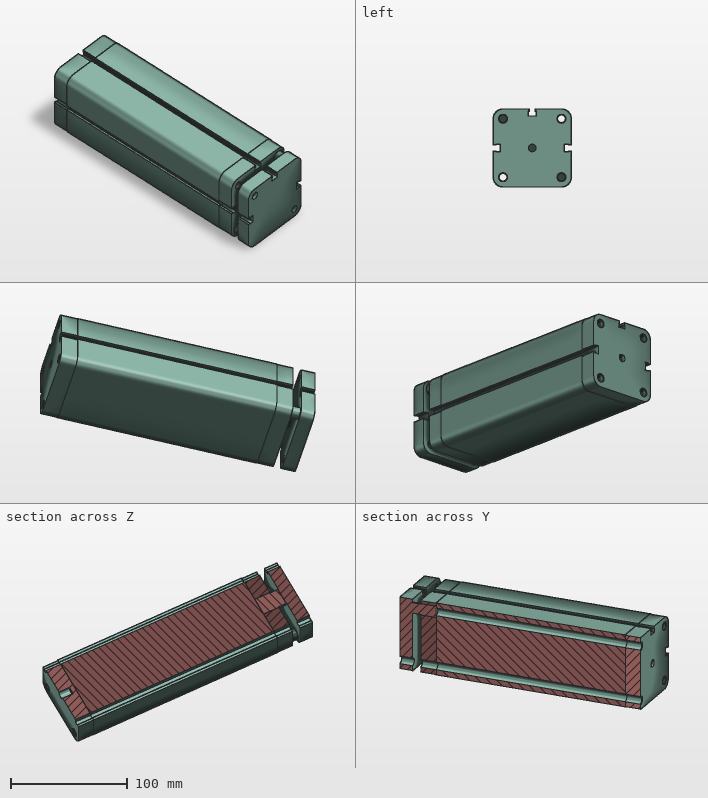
import cadquery as cq

BARREL_SIDE = 67.0
CAP_SIDE = 66.4
CAP_LENGTH = 14.5
BARREL_LENGTH = 177.0
GAP = 7.5
PLATE_THICKNESS = 12.0

BARREL_START = CAP_LENGTH
FRONT_CAP_START = BARREL_START + BARREL_LENGTH
FRONT_FACE = FRONT_CAP_START + CAP_LENGTH
PLATE_START = FRONT_FACE + GAP

CORNER_CENTRE = 25.0
SLOT_FLOOR = BARREL_SIDE / 2 - 6.0
SLOT_LIP_BOTTOM = BARREL_SIDE / 2 - 2.5
CAP_SLOT_OPENING = 6.0
CAP_SLOT_INNER_WIDTH = 7.2
BARREL_SLOT_OPENING = 4.8
BARREL_SLOT_INNER_WIDTH = 6.2
SLOT_ANGLES = (0, 90, -90)

CORNER_OFFSET = CORNER_CENTRE
HOLE_DIAMETER = 6.6
HOLE_CHAMFER = 0.55
GUIDE_DIAMETER = 10.0
OPEN_CORNERS = [(CORNER_OFFSET, -CORNER_OFFSET), (-CORNER_OFFSET, CORNER_OFFSET)]
GUIDE_CORNERS = [(CORNER_OFFSET, CORNER_OFFSET), (-CORNER_OFFSET, -CORNER_OFFSET)]
ALL_CORNERS = OPEN_CORNERS + GUIDE_CORNERS

PORT_DIAMETER = 6.5
PORT_DEPTH = 10.0

ROD_DIAMETER = 16.0
ROD_FLAT_WIDTH = 13.0
ROD_FLAT_DEPTH = (ROD_DIAMETER - ROD_FLAT_WIDTH) / 2
ROD_FLAT_START = FRONT_FACE + ROD_FLAT_DEPTH
ROD_TIP_CHAMFER = 0.5


def section_plane(x):
    """Workplane facing +X, with local axes along Y and Z."""
    return cq.Workplane("YZ", origin=(x, 0, 0))


def cylinders(x, length, diameter, places):
    return section_plane(x).pushPoints(places).circle(diameter / 2).extrude(length)


def slot_cutter(x, length, side, opening, inner_width):
    """T-shaped cutter for the groove in the top face."""
    top = side / 2
    return (
        section_plane(x)
        .moveTo(opening / 2, top)
        .lineTo(opening / 2, SLOT_LIP_BOTTOM)
        .lineTo(inner_width / 2, SLOT_LIP_BOTTOM)
        .lineTo(inner_width / 2, SLOT_FLOOR)
        .lineTo(-inner_width / 2, SLOT_FLOOR)
        .lineTo(-inner_width / 2, SLOT_LIP_BOTTOM)
        .lineTo(-opening / 2, SLOT_LIP_BOTTOM)
        .lineTo(-opening / 2, top)
        .close()
        .extrude(length)
    )


def slotted_block(x, length, side, opening, inner_width):
    """Rounded square block with its grooves, running from x along +X."""
    corner_radius = side / 2 - CORNER_CENTRE
    block = section_plane(x).rect(side, side).extrude(length).edges("|X").fillet(corner_radius)
    cutter = slot_cutter(x, length, side, opening, inner_width)
    for angle in SLOT_ANGLES:
        block = block.cut(cutter.rotate((0, 0, 0), (1, 0, 0), angle))
    return block


def cap_block(x, length):
    """Block with the section shared by both caps and the guide plate."""
    return slotted_block(x, length, CAP_SIDE, CAP_SLOT_OPENING, CAP_SLOT_INNER_WIDTH)


def make_rear_cap():
    cap = cap_block(0, CAP_LENGTH)
    cap = cap.cut(cylinders(0, CAP_LENGTH, HOLE_DIAMETER, ALL_CORNERS))
    mouths = (
        section_plane(0)
        .pushPoints(ALL_CORNERS)
        .circle(HOLE_DIAMETER / 2 + HOLE_CHAMFER)
        .extrude(HOLE_CHAMFER, taper=45)
    )
    cap = cap.cut(mouths)
    return cap.cut(cylinders(0, PORT_DEPTH, PORT_DIAMETER, [(0, 0)]))


def make_barrel():
    barrel = slotted_block(
        BARREL_START, BARREL_LENGTH, BARREL_SIDE, BARREL_SLOT_OPENING, BARREL_SLOT_INNER_WIDTH
    )
    return barrel.cut(cylinders(BARREL_START, BARREL_LENGTH, HOLE_DIAMETER, ALL_CORNERS))


def make_front_cap():
    cap = cap_block(FRONT_CAP_START, CAP_LENGTH)
    cap = cap.cut(cylinders(FRONT_CAP_START, CAP_LENGTH, HOLE_DIAMETER, OPEN_CORNERS))
    cap = cap.cut(cylinders(FRONT_CAP_START, CAP_LENGTH, GUIDE_DIAMETER, GUIDE_CORNERS))
    return cap.cut(cylinders(FRONT_CAP_START, CAP_LENGTH, ROD_DIAMETER, [(0, 0)]))


def make_piston_rod():
    """Rod through the front cap, with two wrench flats and a chamfered tip against the guide plate."""
    rod = cylinders(FRONT_CAP_START, PLATE_START - FRONT_CAP_START, ROD_DIAMETER, [(0, 0)])
    rod = rod.faces(">X").chamfer(ROD_TIP_CHAMFER)
    flat_height = ROD_FLAT_WIDTH / 2
    flat_cutter = (
        cq.Workplane("XZ")
        .moveTo(FRONT_FACE, ROD_DIAMETER / 2)
        .lineTo(ROD_FLAT_START, flat_height)
        .lineTo(PLATE_START, flat_height)
        .lineTo(PLATE_START, ROD_DIAMETER / 2)
        .close()
        .extrude(ROD_DIAMETER / 2, both=True)
    )
    return rod.cut(flat_cutter).cut(flat_cutter.mirror("XY"))


def make_guide_plate():
    """End plate carrying the two guide rods, which slide in the front cap."""
    plate = cap_block(PLATE_START, PLATE_THICKNESS)
    plate = plate.cut(cylinders(PLATE_START, PLATE_THICKNESS, HOLE_DIAMETER, OPEN_CORNERS))
    guide_length = PLATE_START - FRONT_CAP_START
    return plate.union(cylinders(FRONT_CAP_START, guide_length, GUIDE_DIAMETER, GUIDE_CORNERS))


rear_cap = make_rear_cap()
barrel = make_barrel()
front_cap = make_front_cap()
piston_rod = make_piston_rod()
guide_plate = make_guide_plate()

result = cq.Compound.makeCompound([
    rear_cap.val(),
    barrel.val(),
    front_cap.val(),
    piston_rod.val(),
    guide_plate.val(),
])